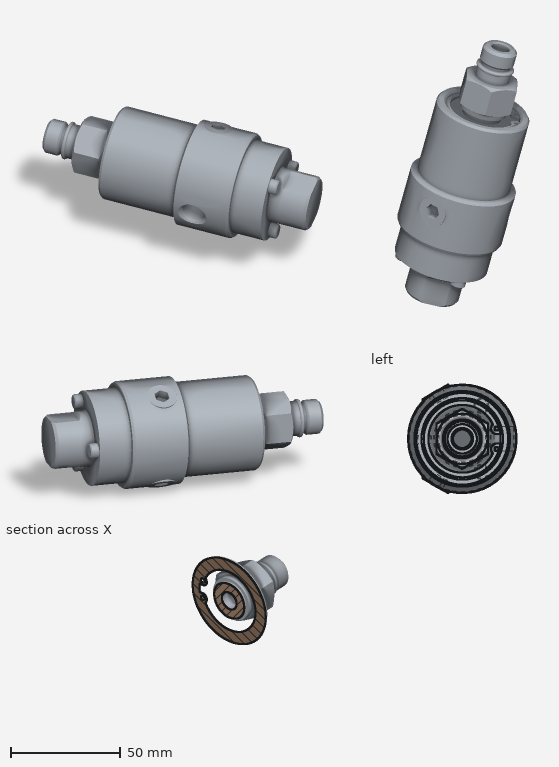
import cadquery as cq
import math


tip_diameter = 16.0
tip_chamfer = 1.3
groove_start = 8.3
groove_end = 9.4
groove_diameter = 13.5
groove_flank = (tip_diameter - groove_diameter) / 2
collar_width = 1.8
collar_diameter = 17.7
nut_start = 15.7
nut_end = 30.2
nut_across_flats = 23.7
nut_across_corners = nut_across_flats / math.cos(math.radians(30))
nut_face_diameter = 23.0
nut_chamfer_length = 1.3
neck_diameter = 21.4
neck_end = 32.8
journal_diameter = 18.2
shaft_bore_diameter = 8.5
shaft_bore_mouth_diameter = 9.8

housing_start = 32.0
housing_end = 110.8
housing_diameter = 43.7
housing_front_chamfer = 0.9
housing_front_chamfer_length = 1.2
flange_diameter = 49.5
flange_start = 68.2
flange_end = 95.7
flange_front_chamfer_length = 1.3
flange_back_chamfer_length = 1.2
flange_back_chamfer = 0.6
shaft_end = flange_start

recess_diameter = 35.2
recess_mouth_diameter = 37.3
recess_chamfer = (recess_mouth_diameter - recess_diameter) / 2
ring_front_depth = 1.5
ring_thickness = 1.3
recess_depth = 3.4
ring_inner_diameter = 31.0
ring_gap = 4.3
lug_radius = 2.6
lug_hole_diameter = 1.9
lug_hole_y = -15.7
lug_hole_z = ring_gap / 2 + lug_radius

port_x = 78.5
port_diameter = 11.1
port_mouth_diameter = 13.9
port_depth = 10.3
plug_diameter = 13.5
plug_height = 2.6
plug_face_radius = 24.6
plug_socket_corners = 7.2
plug_socket_depth = 4.8
plug_angles = (60, -60)

overall_length = 129.0
tail_diameter = 25.4
tail_root_diameter = 26.3
tail_root_length = 1.0
tail_end_chamfer_length = 1.3
tail_end_chamfer = 0.9
tail_across_flats = 22.2
tail_flat_start = 116.0
screw_head_diameter = 6.8
screw_head_height = 3.9
screw_chamfer = 0.5
screw_circle_radius = 17.4
screw_angles = (0, 120, 240)


def cylinder_x(start, end, diameter):
    """Cylinder on the X axis between two stations."""
    return cq.Workplane("YZ", origin=(start, 0, 0)).circle(diameter / 2).extrude(end - start)


def revolve_x(outline):
    """Revolve a closed (x, radius) outline about the X axis."""
    return outline.close().revolve(360, (0, 0, 0), (1, 0, 0))


def radial_plane(angle, radius):
    """Plane at the port station facing outward; the angle is from +Y towards +Z."""
    direction = (0, math.cos(math.radians(angle)), math.sin(math.radians(angle)))
    origin = (port_x, radius * direction[1], radius * direction[2])
    return cq.Plane(origin=origin, xDir=(1, 0, 0), normal=direction)


def make_nut():
    """Hexagon with two corners on the Z axis, both ends turned to a cone."""
    hexagon = (
        cq.Workplane("YZ", origin=(nut_start, 0, 0))
        .polygon(6, nut_across_corners)
        .extrude(nut_end - nut_start)
        .rotate((0, 0, 0), (1, 0, 0), 90)
    )
    envelope = revolve_x(
        cq.Workplane("XY")
        .moveTo(nut_start, 0)
        .lineTo(nut_start, nut_face_diameter / 2)
        .lineTo(nut_start + nut_chamfer_length, nut_across_corners / 2)
        .lineTo(nut_end - nut_chamfer_length, nut_across_corners / 2)
        .lineTo(nut_end, nut_face_diameter / 2)
        .lineTo(nut_end, 0)
    )
    return hexagon.intersect(envelope)


def make_shaft():
    """Bored shaft: spigot with groove and round collar, hexagon, neck, and journal in the housing."""
    tip_radius = tip_diameter / 2
    groove_radius = groove_diameter / 2
    spigot = revolve_x(
        cq.Workplane("XY")
        .lineTo(0, tip_radius - tip_chamfer)
        .lineTo(tip_chamfer, tip_radius)
        .lineTo(groove_start - groove_flank, tip_radius)
        .lineTo(groove_start, groove_radius)
        .lineTo(groove_end, groove_radius)
        .lineTo(groove_end, tip_radius)
        .threePointArc(
            (groove_end + collar_width / 2, collar_diameter / 2),
            (groove_end + collar_width, tip_radius),
        )
        .lineTo(nut_start, tip_radius)
        .lineTo(nut_start, 0)
    )
    neck = cylinder_x(nut_end, neck_end, neck_diameter)
    journal = cylinder_x(neck_end, shaft_end, journal_diameter)
    bore = cylinder_x(0, shaft_end, shaft_bore_diameter)
    shaft = spigot.union(make_nut()).union(neck).union(journal).cut(bore)
    mouth_chamfer = (shaft_bore_mouth_diameter - shaft_bore_diameter) / 2
    bore_rim = cq.selectors.RadiusNthSelector(0)
    return shaft.faces("<X").edges(bore_rim).chamfer(mouth_chamfer)


def make_barrel():
    """Turned outside of the housing with its chamfered flange."""
    body_radius = housing_diameter / 2
    flange_radius = flange_diameter / 2
    return revolve_x(
        cq.Workplane("XY")
        .moveTo(housing_start, 0)
        .lineTo(housing_start, body_radius - housing_front_chamfer)
        .lineTo(housing_start + housing_front_chamfer_length, body_radius)
        .lineTo(flange_start, body_radius)
        .lineTo(flange_start + flange_front_chamfer_length, flange_radius)
        .lineTo(flange_end - flange_back_chamfer_length, flange_radius)
        .lineTo(flange_end, flange_radius - flange_back_chamfer)
        .lineTo(flange_end, body_radius)
        .lineTo(housing_end, body_radius)
        .lineTo(housing_end, 0)
    )


def make_recess():
    """Round pocket in the front face with a chamfered mouth."""
    recess = cylinder_x(housing_start, housing_start + recess_depth, recess_diameter)
    mouth = revolve_x(
        cq.Workplane("XY")
        .moveTo(housing_start, 0)
        .lineTo(housing_start, recess_mouth_diameter / 2)
        .lineTo(housing_start + recess_chamfer, recess_diameter / 2)
        .lineTo(housing_start + recess_chamfer, 0)
    )
    return recess.union(mouth)


def make_retaining_ring():
    """Open ring inside the recess; two lugs with holes flank the gap on the -Y side."""
    start = housing_start + ring_front_depth
    end = start + ring_thickness
    plane = cq.Workplane("YZ", origin=(start, 0, 0))
    lug_points = [(lug_hole_y, lug_hole_z), (lug_hole_y, -lug_hole_z)]
    ring = cylinder_x(start, end, recess_diameter).cut(cylinder_x(start, end, ring_inner_diameter))
    lugs = plane.pushPoints(lug_points).circle(lug_radius).extrude(ring_thickness)
    lugs = lugs.intersect(cylinder_x(start, end, recess_diameter))
    gap = plane.center(-recess_diameter / 2, 0).rect(recess_diameter / 2, ring_gap).extrude(ring_thickness)
    holes = plane.pushPoints(lug_points).circle(lug_hole_diameter / 2).extrude(ring_thickness)
    return ring.union(lugs).cut(gap).cut(holes)


def make_port():
    """Blind port on the -Y side with a 45 degree countersink."""
    plane = radial_plane(180, flange_diameter / 2)
    mouth_chamfer = (port_mouth_diameter - port_diameter) / 2
    hole = cq.Workplane(plane).circle(port_diameter / 2).extrude(-port_depth)
    mouth = cq.Workplane(plane).circle(port_mouth_diameter / 2).extrude(-mouth_chamfer, taper=45)
    return hole.union(mouth)


def make_plug(angle):
    """Flat plug head whose face lies just below the crown of the flange."""
    plane = radial_plane(angle, plug_face_radius)
    return cq.Workplane(plane).circle(plug_diameter / 2).extrude(-plug_height)


def make_plug_spotface(angle):
    """Material outside a plug face, removed so that the whole face is flat."""
    plane = radial_plane(angle, plug_face_radius)
    return cq.Workplane(plane).circle(plug_diameter / 2).extrude(plug_height)


def make_plug_socket(angle):
    """Hexagon socket of a plug, two of its flats square to the X axis."""
    plane = radial_plane(angle, plug_face_radius).rotated((0, 0, 90))
    return cq.Workplane(plane).polygon(6, plug_socket_corners).extrude(-plug_socket_depth)


def make_tail():
    """Round tail with a root shoulder and two wrench flats facing +Z and -Z."""
    tail_radius = tail_diameter / 2
    root_end = housing_end + tail_root_length
    tail = revolve_x(
        cq.Workplane("XY")
        .moveTo(housing_end, 0)
        .lineTo(housing_end, tail_root_diameter / 2)
        .lineTo(root_end, tail_radius)
        .lineTo(overall_length - tail_end_chamfer_length, tail_radius)
        .lineTo(overall_length, tail_radius - tail_end_chamfer)
        .lineTo(overall_length, 0)
    )
    flat_z = tail_across_flats / 2
    rise = tail_diameter - flat_z
    flat = (
        cq.Workplane("XZ")
        .moveTo(tail_flat_start, flat_z)
        .lineTo(overall_length, flat_z)
        .lineTo(overall_length, flat_z + rise)
        .lineTo(tail_flat_start - rise, flat_z + rise)
        .close()
        .extrude(tail_diameter, both=True)
    )
    return tail.cut(flat).cut(flat.mirror("XY"))


def make_screw_head(angle):
    """Cylindrical screw head on the back face; the angle is from +Y towards +Z."""
    y = screw_circle_radius * math.cos(math.radians(angle))
    z = screw_circle_radius * math.sin(math.radians(angle))
    head = cylinder_x(housing_end, housing_end + screw_head_height, screw_head_diameter)
    return head.faces(">X").chamfer(screw_chamfer).translate((0, y, z))


def make_housing():
    """Barrel, tail, retaining ring, screw heads and plugs as one solid with a seat for the shaft."""
    housing = make_barrel().cut(make_recess()).union(make_retaining_ring()).union(make_tail())
    for angle in screw_angles:
        housing = housing.union(make_screw_head(angle))
    for angle in plug_angles:
        housing = housing.union(make_plug(angle)).cut(make_plug_spotface(angle)).cut(make_plug_socket(angle))
    shaft_seat = cylinder_x(housing_start, shaft_end, journal_diameter)
    return housing.cut(make_port()).cut(shaft_seat)


shaft = make_shaft()
housing = make_housing()

result = cq.Compound.makeCompound([shaft.val(), housing.val()])